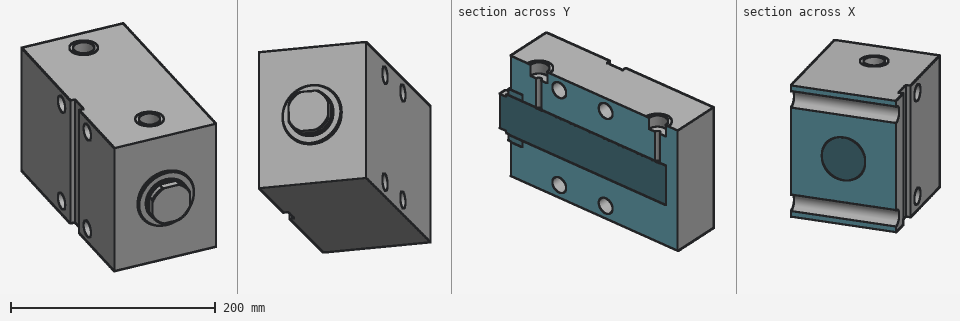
import cadquery as cq

block_length = 213.0
block_depth = 110.0
block_height = 140.0
front_face = -block_depth / 2
top_face = block_height / 2
front_edge_chamfer = 0.3

slot_start = 112.0
slot_width = 20.0
slot_depth = 5.0

mount_hole_diameter = 17.0
mount_hole_columns = (92.0, 151.0)
mount_hole_spacing_z = 110.0

port_positions = (26.0, 177.0)
port_diameter = 21.0
port_depth = 13.0
port_seat_diameter = 28.0
port_seat_depth = 0.1
oil_hole_diameter = 6.0

rod_diameter = 45.0
rod_collar_protrusion = 6.0
rod_tip_length = 8.0
rod_collar_end = block_length + rod_collar_protrusion
rod_collar_chamfer = 0.8
rod_tip_end = rod_collar_end + rod_tip_length
rod_tip_diameter = 44.2
rod_tip_chamfer = 0.6
rod_tip_across_flats = 40.2
rod_back_end = port_positions[0] - port_diameter / 2

gland_diameter = 60.0
gland_protrusion = 3.0
gland_inset = 15.0
gland_start = block_length - gland_inset
gland_end = block_length + gland_protrusion
gland_chamfer = 0.5


def cylinder_x(start, end, diameter):
    """Cylinder on the rod axis between two X positions."""
    return cq.Workplane("YZ", origin=(start, 0, 0)).circle(diameter / 2).extrude(end - start)


def cylinder_down(x, top, bottom, diameter):
    """Vertical cylinder at a given X on the Y = 0 plane."""
    return cq.Workplane("XY", origin=(x, 0, bottom)).circle(diameter / 2).extrude(top - bottom)


def make_block():
    block = cq.Workplane("XY").box(
        block_length, block_depth, block_height, centered=(False, True, True)
    )
    block = block.edges("<Y and >Z").chamfer(front_edge_chamfer)

    slot = cq.Workplane("XY", origin=(slot_start, front_face, 0)).box(
        slot_width, slot_depth, block_height, centered=(False, False, True)
    )
    block = block.cut(slot)

    hole_centres = [
        (x, side * mount_hole_spacing_z / 2) for x in mount_hole_columns for side in (-1, 1)
    ]
    mount_holes = (
        cq.Workplane("XZ", origin=(0, -front_face, 0))
        .pushPoints(hole_centres)
        .circle(mount_hole_diameter / 2)
        .extrude(block_depth)
    )
    block = block.cut(mount_holes)

    for x in port_positions:
        block = block.cut(cylinder_down(x, top_face, top_face - port_seat_depth, port_seat_diameter))
        block = block.cut(cylinder_down(x, top_face, top_face - port_depth, port_diameter))
        block = block.cut(cylinder_down(x, top_face, 0, oil_hole_diameter))

    block = block.cut(cylinder_x(rod_back_end, block_length, rod_diameter))
    return block.cut(cylinder_x(gland_start, block_length, gland_diameter))


def make_gland():
    gland = cylinder_x(gland_start, gland_end, gland_diameter)
    gland = gland.faces(">X").chamfer(gland_chamfer)
    return gland.cut(cylinder_x(gland_start, gland_end, rod_diameter))


def make_rod():
    body = cylinder_x(rod_back_end, rod_collar_end, rod_diameter)
    body = body.faces(">X").chamfer(rod_collar_chamfer)

    tip = cylinder_x(rod_collar_end, rod_tip_end, rod_tip_diameter)
    tip = tip.faces(">X").chamfer(rod_tip_chamfer)
    square = cq.Workplane("YZ", origin=(rod_collar_end, 0, 0)).rect(
        rod_tip_across_flats, rod_tip_across_flats
    )
    tip = tip.intersect(square.extrude(rod_tip_end - rod_collar_end))
    return body.union(tip)


block = make_block()
gland = make_gland()
rod = make_rod()

result = cq.Compound.makeCompound([block.val(), gland.val(), rod.val()])